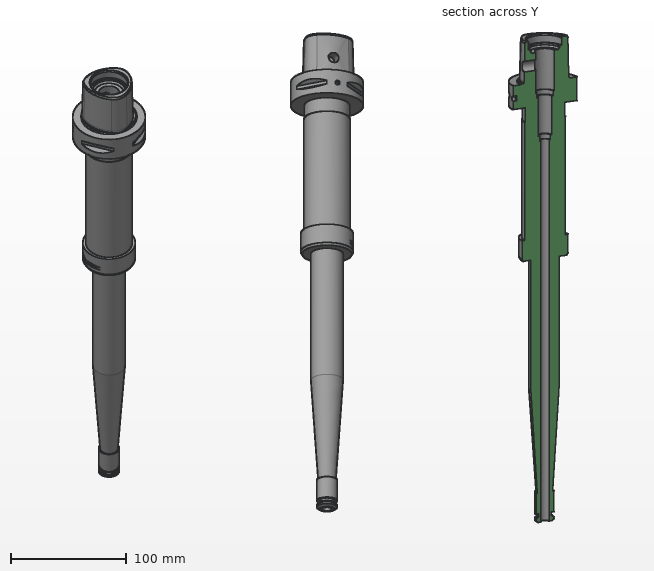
import cadquery as cq
import math

length = 434.0

shank_length = 38.0
shank_radius = 22.0
lobe_height = 1.4
taper_ratio = 1 / 40
shank_chamfer_height = 1.7
shank_chamfer_width = 1.0
foot_height = 2.5
foot_flare = 0.5
side_count = 6
points_per_side = 7

flange_diameter = 63.0
flange_thickness = 21.5
flange_top = length - shank_length
flange_bottom = flange_top - flange_thickness
seat_diameter = 48.5
seat_height = 1.0
seat_slope_width = 1.5

body_diameter = 40.5
neck_diameter = 39.5
neck_length = 12.5
collar_diameter = 45.5
collar_top = 255.5
collar_bottom = 236.5
collar_chamfer = 2.0
collar_chamfer_width = 1.5
bar_diameter = 28.0

cone_top = 120.0
cone_bottom = 27.0
cone_end_diameter = 15.5
tip_diameter = 18.0
tip_bottom = 8.0
tip_neck_diameter = 13.0
disc_height = 5.0
disc_face_diameter = 13.0
disc_top_diameter = 14.8
disc_shoulder_diameter = 16.5
disc_shoulder_height = 1.5
disc_rim_width = 1.7

bore_corners = [
    (34.0, 0),
    (32.0, 1.5),
    (32.0, 8.0),
    (28.5, 8.0),
    (28.5, 9.5),
    (25.0, 11.5),
    (18.0, 11.5),
    (18.0, 47.7),
    (16.0, 47.7),
    (16.0, 52.0),
    (13.0, 52.0),
    (13.0, 87.0),
    (10.0, 87.0),
    (10.0, 91.0),
    (8.2, 91.0),
    (8.2, length),
]

notch_count = 4
first_notch_angle = 45
notch_rise = 10.0
notch_height = flange_bottom + notch_rise
notch_outer_width = 8.2
notch_floor_width = 3.0
notch_floor_distance = 27.8

cross_hole_diameter = 9.0
cross_hole_drop = 22.5
mark_hole_diameter = 4.0
mark_hole_depth = 3.5

crescent_radius = 26.0
crescent_offset = 4.5
crescent_top = 245.0
crescent_width = 2.5


def shank_point(radius, angle):
    """Point on the three-lobed curve, with one lobe toward +X."""
    x = radius * math.cos(angle) + lobe_height * (2 * math.cos(2 * angle) - math.cos(4 * angle))
    y = radius * math.sin(angle) - lobe_height * (2 * math.sin(2 * angle) + math.sin(4 * angle))
    return x, y


def shank_outline(radius, height):
    side_angle = 2 * math.pi / side_count
    edges = []
    for side in range(side_count):
        start = (side - 0.5) * side_angle
        points = []
        for i in range(points_per_side):
            x, y = shank_point(radius, start + side_angle * i / (points_per_side - 1))
            points.append(cq.Vector(x, y, height))
        edges.append(cq.Edge.makeSpline(points))
    return cq.Wire.assembleEdges(edges)


def make_shank():
    foot_top = flange_top + foot_height
    shoulder = length - shank_chamfer_height
    top_radius = shank_radius - (shoulder - foot_top) * taper_ratio
    outlines = [
        shank_outline(shank_radius + foot_flare, flange_top),
        shank_outline(shank_radius, foot_top),
        shank_outline(top_radius, shoulder),
        shank_outline(top_radius - shank_chamfer_width, length),
    ]
    return cq.Workplane(cq.Solid.makeLoft(outlines, True))


def revolve_about_z(profile):
    return cq.Workplane("XZ").polyline(profile).close().revolve(360, (0, 0), (0, 1))


def make_body():
    neck_bottom = flange_bottom - neck_length
    profile = [
        (0, 0),
        (disc_face_diameter / 2, 0),
        (disc_shoulder_diameter / 2, disc_shoulder_height),
        (tip_diameter / 2, (disc_height - disc_rim_width) / 2),
        (tip_diameter / 2, (disc_height + disc_rim_width) / 2),
        (disc_shoulder_diameter / 2, disc_height - disc_shoulder_height),
        (disc_top_diameter / 2, disc_height),
        (tip_neck_diameter / 2, disc_height),
        (tip_neck_diameter / 2, tip_bottom),
        (tip_diameter / 2, tip_bottom),
        (tip_diameter / 2, cone_bottom),
        (cone_end_diameter / 2, cone_bottom),
        (bar_diameter / 2, cone_top),
        (bar_diameter / 2, collar_bottom),
        (collar_diameter / 2 - collar_chamfer_width, collar_bottom),
        (collar_diameter / 2, collar_bottom + collar_chamfer),
        (collar_diameter / 2, collar_top),
        (body_diameter / 2, collar_top),
        (body_diameter / 2, neck_bottom),
        (neck_diameter / 2, neck_bottom),
        (neck_diameter / 2, flange_bottom),
        (flange_diameter / 2, flange_bottom),
        (flange_diameter / 2, flange_top),
        (seat_diameter / 2, flange_top),
        (seat_diameter / 2 - seat_slope_width, flange_top + seat_height),
        (0, flange_top + seat_height),
    ]
    return revolve_about_z(profile)


def make_bore():
    wall = [(diameter / 2, length - depth) for diameter, depth in bore_corners]
    profile = [(0, length)] + wall + [(0, 0)]
    return revolve_about_z(profile)


def make_notch():
    rim = flange_diameter / 2
    profile = [
        (notch_floor_distance, notch_height - notch_floor_width / 2),
        (rim, notch_height - notch_outer_width / 2),
        (rim, notch_height + notch_outer_width / 2),
        (notch_floor_distance, notch_height + notch_floor_width / 2),
    ]
    return cq.Workplane("XZ").polyline(profile).close().extrude(rim, both=True)


def side_hole(diameter, depth, height):
    """Radial cutter from the -X side, its depth measured from the flange rim."""
    plane = cq.Plane(origin=(-flange_diameter / 2, 0, height), xDir=(0, 1, 0), normal=(1, 0, 0))
    return cq.Workplane(plane).circle(diameter / 2).extrude(depth)


def make_crescent():
    """Eccentric ring that bites into the collar only on its -Y side."""
    blank = cq.Workplane("XY").workplane(offset=crescent_top - crescent_width)
    ring = blank.circle(collar_diameter).extrude(crescent_width)
    kept = blank.center(0, crescent_offset).circle(crescent_radius).extrude(crescent_width)
    return ring.cut(kept)


result = make_body().union(make_shank()).cut(make_bore())
for index in range(notch_count):
    angle = first_notch_angle + 360 / notch_count * index
    result = result.cut(make_notch().rotate((0, 0, 0), (0, 0, 1), angle))
result = result.cut(side_hole(cross_hole_diameter, flange_diameter / 2, length - cross_hole_drop))
result = result.cut(side_hole(mark_hole_diameter, mark_hole_depth, notch_height))
result = result.cut(make_crescent())